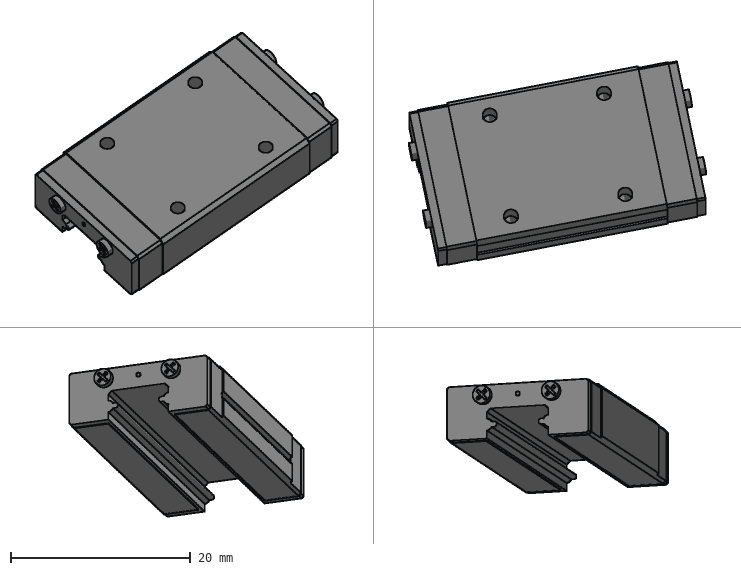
import cadquery as cq
import math

BLOCK_WIDTH = 17.0
HEIGHT = 6.5
OVERALL_LENGTH = 31.8
BLOCK_LENGTH = 21.62
CAP_LENGTH = 3.4
SEAL_THICKNESS = 1.0
EDGE_CHAMFER = 0.5

CAP_INSET = 0.2
SEAL_INSET = 0.3
SEAL_BOTTOM_GAP = 0.1

CHANNEL_HALF_WIDTH = 3.55
CHANNEL_HEIGHT = 3.5
CHANNEL_CHAMFER = 0.4
CHANNEL_MOUTH_HALF_WIDTH = 3.95
LIP_HEIGHT = 1.7
LIP_ROUND_RADIUS = 0.7
LIP_ROUND_SETBACK = 0.1
LIP_TIP_HALF_WIDTH = 2.45
LIP_TIP_THICKNESS = 0.6
LIP_TIP_FILLET = 0.25

GROOVE_RADIUS = 0.4
GROOVE_HEIGHT = 3.0
GROOVE_CENTER_OUTSET = 0.1

MOUNT_HOLE_DIAMETER = 1.6
MOUNT_HOLE_DEPTH = 2.5
MOUNT_SPACING_X = 12.0
MOUNT_SPACING_Y = 12.97
DRILL_TIP_ANGLE = 118.0

SCREW_DIAMETER = 2.0
SCREW_SPACING = 8.0
SCREW_HEIGHT = 5.0
RECESS_LENGTH = 1.4
RECESS_WIDTH = 0.3
RECESS_DEPTH = 0.2
RECESS_ANGLE = 45.0
GREASE_HOLE_DIAMETER = 0.48
GREASE_HOLE_DEPTH = 0.1

CAP_END = BLOCK_LENGTH / 2 + CAP_LENGTH
SEAL_END = CAP_END + SEAL_THICKNESS
SCREW_END = OVERALL_LENGTH / 2


def extrude_along_y(sketch, length):
    """Extrude an XZ sketch symmetrically about the middle of the part."""
    return sketch.extrude(length / 2, both=True)


def chamfered_bar(inset, bottom, length, chamfer):
    """Bar along Y whose sides and top sit inside the block outline by the inset."""
    width = BLOCK_WIDTH - 2 * inset
    height = HEIGHT - inset - bottom
    bar = cq.Workplane("XY").box(width, length, height, centered=(True, True, False))
    return bar.translate((0, 0, bottom)).edges("|Y").chamfer(chamfer)


def make_body():
    """Block, caps and seals share the height at which their chamfers start."""
    block = chamfered_bar(0, 0, BLOCK_LENGTH, EDGE_CHAMFER)
    caps = chamfered_bar(CAP_INSET, 0, 2 * CAP_END, EDGE_CHAMFER - CAP_INSET)
    seals = chamfered_bar(SEAL_INSET, SEAL_BOTTOM_GAP, 2 * SEAL_END, EDGE_CHAMFER - SEAL_INSET)
    return block.union(caps).union(seals)


def make_lip(side):
    """Round bead centered just behind the channel wall, with a flat tongue reaching inward."""
    bead_center = side * (CHANNEL_HALF_WIDTH + LIP_ROUND_SETBACK)
    bead = cq.Workplane("XZ").center(bead_center, LIP_HEIGHT).circle(LIP_ROUND_RADIUS)
    reach = CHANNEL_HALF_WIDTH - LIP_TIP_HALF_WIDTH
    tongue_center = side * (CHANNEL_HALF_WIDTH + LIP_TIP_HALF_WIDTH) / 2
    tongue = cq.Workplane("XZ").center(tongue_center, LIP_HEIGHT).rect(reach, LIP_TIP_THICKNESS)
    tongue = extrude_along_y(tongue, 2 * SEAL_END)
    tip_edges = "|Y and <X" if side > 0 else "|Y and >X"
    tongue = tongue.edges(tip_edges).fillet(LIP_TIP_FILLET)
    return extrude_along_y(bead, 2 * SEAL_END).union(tongue)


def make_channel():
    channel = cq.Workplane("XZ").center(0, CHANNEL_HEIGHT / 2).rect(2 * CHANNEL_HALF_WIDTH, CHANNEL_HEIGHT)
    channel = extrude_along_y(channel, 2 * SEAL_END).edges("|Y and >Z").chamfer(CHANNEL_CHAMFER)
    mouth = cq.Workplane("XZ").center(0, SEAL_BOTTOM_GAP / 2)
    mouth = mouth.rect(2 * CHANNEL_MOUTH_HALF_WIDTH, SEAL_BOTTOM_GAP)
    channel = channel.union(extrude_along_y(mouth, 2 * SEAL_END))
    for side in (-1, 1):
        channel = channel.cut(make_lip(side))
    return channel


def make_groove():
    center_x = -BLOCK_WIDTH / 2 - GROOVE_CENTER_OUTSET
    groove = cq.Workplane("XZ").center(center_x, GROOVE_HEIGHT).circle(GROOVE_RADIUS)
    return extrude_along_y(groove, BLOCK_LENGTH)


def make_mount_holes():
    """Drilled holes with conical bottoms, on a rectangle about the center."""
    radius = MOUNT_HOLE_DIAMETER / 2
    tip_depth = radius / math.tan(math.radians(DRILL_TIP_ANGLE / 2))
    floor = HEIGHT - MOUNT_HOLE_DEPTH
    drill = (
        cq.Workplane("XZ")
        .moveTo(0, HEIGHT)
        .lineTo(radius, HEIGHT)
        .lineTo(radius, floor)
        .lineTo(0, floor - tip_depth)
        .close()
        .revolve(360, (0, 0, 0), (0, 1, 0))
    )
    places = cq.Workplane("XY").rect(MOUNT_SPACING_X, MOUNT_SPACING_Y, forConstruction=True)
    return places.vertices().eachpoint(lambda place: drill.val().moved(place))


def end_plane(y):
    """XZ workplane at the given Y, whose extrusions go toward +Y."""
    return cq.Workplane(cq.Plane(origin=(0, y, 0), xDir=(-1, 0, 0), normal=(0, 1, 0)))


def make_end_screws():
    """Screw heads of the +Y end, with their cross recesses."""
    places = [(-SCREW_SPACING / 2, SCREW_HEIGHT), (SCREW_SPACING / 2, SCREW_HEIGHT)]
    heads = end_plane(SEAL_END).pushPoints(places).circle(SCREW_DIAMETER / 2).extrude(SCREW_END - SEAL_END)
    for turn in (-RECESS_ANGLE, RECESS_ANGLE):
        slots = end_plane(SCREW_END - RECESS_DEPTH).pushPoints(places)
        slots = slots.sketch().rect(RECESS_LENGTH, RECESS_WIDTH, angle=turn).finalize().extrude(RECESS_DEPTH)
        heads = heads.cut(slots)
    return heads


def make_grease_hole():
    """Shallow hole in the face of the +Y end seal."""
    hole = end_plane(SEAL_END - GREASE_HOLE_DEPTH).center(0, SCREW_HEIGHT).circle(GREASE_HOLE_DIAMETER / 2)
    return hole.extrude(GREASE_HOLE_DEPTH)


result = make_body().cut(make_channel()).cut(make_groove()).cut(make_mount_holes())

end_screws = make_end_screws()
grease_hole = make_grease_hole()
result = result.union(end_screws).union(end_screws.mirror("XZ"))
result = result.cut(grease_hole).cut(grease_hole.mirror("XZ"))